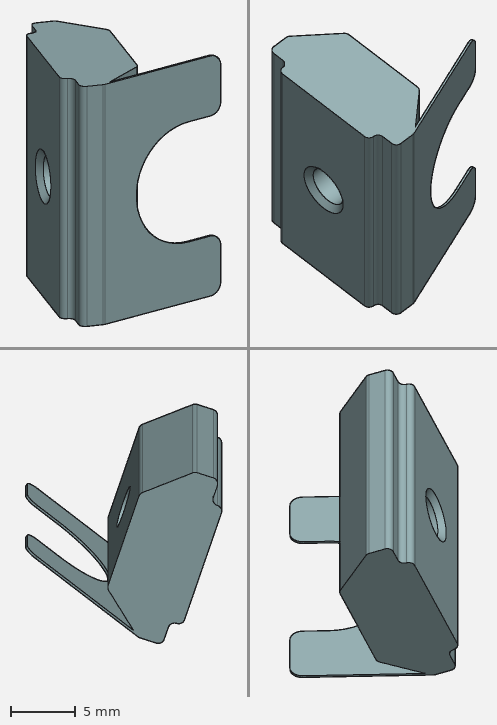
import cadquery as cq
import math

LENGTH = 20.0
WIDTH = 14.0
HEIGHT = 6.5
BOSS_WIDTH = 10.0
SLOPE_START = 3.0
BACK_WIDTH = 8.0
EDGE_RADIUS = 0.5
BOSS_HEIGHT = 2 * EDGE_RADIUS

HOLE_DIAMETER = 3.3
COUNTERSINK_DIAMETER = 4.3
COUNTERSINK_ANGLE = 90.0

SPRING_TIP_Y = 13.43
SPRING_ANGLE = math.radians(20.0)
SPRING_THICKNESS = 0.2
SPRING_CORNER_RADIUS = 1.0
NOTCH_WIDTH = 10.0
NOTCH_FLOOR = 3.0


def make_body():
    """Extrude the symmetric nut profile and round its long edges."""
    boss_half = BOSS_WIDTH / 2
    half_profile = (
        cq.Workplane("XY")
        .lineTo(boss_half - EDGE_RADIUS, 0)
        .tangentArcPoint((boss_half, EDGE_RADIUS), relative=False)
        .radiusArc((boss_half + EDGE_RADIUS, BOSS_HEIGHT), EDGE_RADIUS)
        .lineTo(WIDTH / 2, BOSS_HEIGHT)
        .lineTo(WIDTH / 2, SLOPE_START)
        .lineTo(BACK_WIDTH / 2, HEIGHT)
        .lineTo(0, HEIGHT)
        .mirrorY()
    )
    body = half_profile.extrude(LENGTH / 2, both=True)
    for corner_x, corner_y in (
        (WIDTH / 2, BOSS_HEIGHT),
        (WIDTH / 2, SLOPE_START),
        (BACK_WIDTH / 2, HEIGHT),
    ):
        for side in (-1, 1):
            corner_edge = body.edges(cq.NearestToPointSelector((side * corner_x, corner_y, 0)))
            body = corner_edge.fillet(EDGE_RADIUS)
    return body


def cut_hole(body):
    """Bore through along Y, countersunk on the boss face."""
    boss_face = body.faces("<Y").workplane(origin=(0, 0, 0))
    return boss_face.cskHole(HOLE_DIAMETER, COUNTERSINK_DIAMETER, COUNTERSINK_ANGLE)


def make_spring():
    """Build the two-pronged leaf flat, its outer face tangent to the rounded +X edge."""
    slope_angle = math.atan2((WIDTH - BACK_WIDTH) / 2, HEIGHT - SLOPE_START)
    center_x = WIDTH / 2 - EDGE_RADIUS
    center_y = SLOPE_START - EDGE_RADIUS * math.tan(slope_angle / 2)

    root_x = center_x + EDGE_RADIUS * math.cos(SPRING_ANGLE)
    root_y = center_y + EDGE_RADIUS * math.sin(SPRING_ANGLE)
    leaf_length = (SPRING_TIP_Y - root_y) / math.cos(SPRING_ANGLE)

    leaf_plane = cq.Plane(
        origin=(root_x, root_y, 0),
        xDir=(-math.sin(SPRING_ANGLE), math.cos(SPRING_ANGLE), 0),
        normal=(math.cos(SPRING_ANGLE), math.sin(SPRING_ANGLE), 0),
    )
    notch_radius = NOTCH_WIDTH / 2
    notch_center = NOTCH_FLOOR + notch_radius
    leaf = (
        cq.Workplane(leaf_plane)
        .moveTo(0, -LENGTH / 2)
        .lineTo(leaf_length, -LENGTH / 2)
        .lineTo(leaf_length, -notch_radius)
        .lineTo(notch_center, -notch_radius)
        .threePointArc((NOTCH_FLOOR, 0), (notch_center, notch_radius))
        .lineTo(leaf_length, notch_radius)
        .lineTo(leaf_length, LENGTH / 2)
        .lineTo(0, LENGTH / 2)
        .close()
        .extrude(-SPRING_THICKNESS)
    )
    tip_faces = leaf.faces(cq.DirectionMinMaxSelector(leaf_plane.xDir, True))
    return tip_faces.edges("#Z").fillet(SPRING_CORNER_RADIUS)


nut = cut_hole(make_body())
result = nut.union(make_spring())